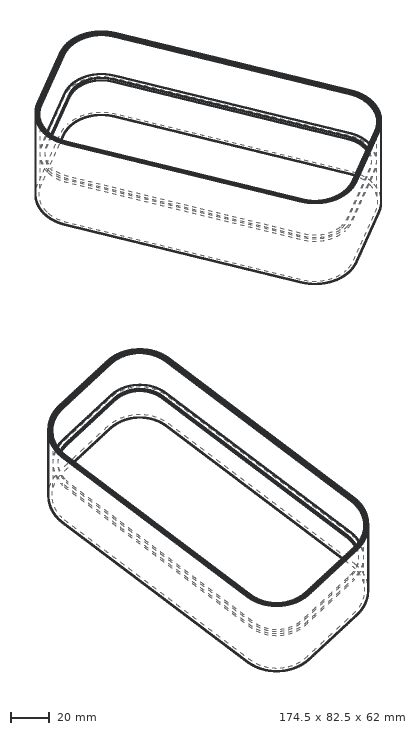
import cadquery as cq

length = 174.5
width = 82.5
height = 62.0
corner_radius = 22.7

rim_wall = 1.0
step_wall = 2.1
bottom_wall = 2.0
main_wall = 2.5
ledge_wall = 5.0

rim_step_depth = 0.5
top_taper_height = 7.2
bottom_taper_height = 13.6
ledge_top = 32.0
ledge_thickness = 2.0

ledge_bottom = ledge_top - ledge_thickness
main_wall_top = height - top_taper_height
rim_step = height - rim_step_depth


def outline(inset):
    """Sketch the sleeve outline moved inward, keeping its corners concentric."""
    sketch = cq.Sketch().rect(length - 2 * inset, width - 2 * inset)
    return sketch.vertices().fillet(corner_radius - inset)


def straight_block(inset, bottom, top):
    """Make a rounded block with vertical sides."""
    plane = cq.Workplane("XY", origin=(0, 0, bottom))
    return plane.placeSketch(outline(inset)).extrude(top - bottom)


def tapered_block(bottom_inset, top_inset, bottom, top):
    """Make a rounded block whose inset changes evenly with height."""
    lower = outline(bottom_inset)
    upper = outline(top_inset).moved(cq.Location(cq.Vector(0, 0, top - bottom)))
    plane = cq.Workplane("XY", origin=(0, 0, bottom))
    return plane.placeSketch(lower, upper).loft()


result = straight_block(0, 0, height)

result = result.cut(tapered_block(bottom_wall, main_wall, 0, bottom_taper_height))
result = result.cut(straight_block(main_wall, bottom_taper_height, ledge_bottom))

result = result.cut(straight_block(ledge_wall, ledge_bottom, ledge_top))

result = result.cut(straight_block(main_wall, ledge_top, main_wall_top))
result = result.cut(tapered_block(main_wall, step_wall, main_wall_top, rim_step))
result = result.cut(straight_block(rim_wall, rim_step, height))